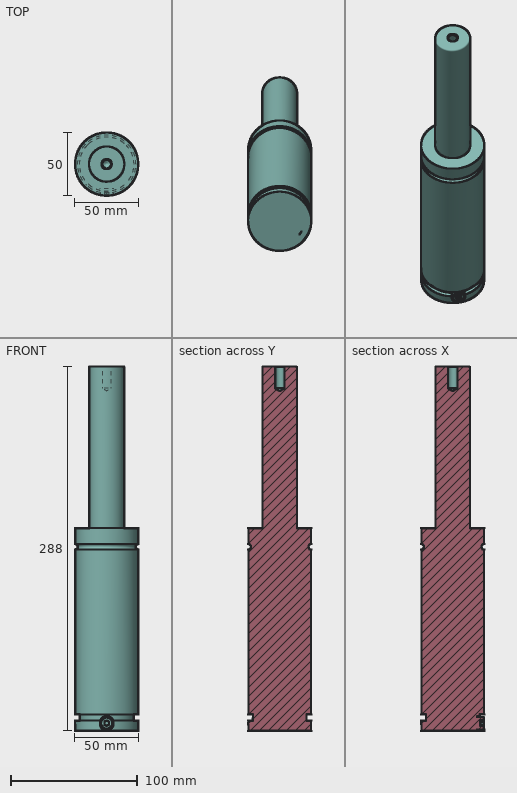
import cadquery as cq
import math

length = 288.0
body_diameter = 50.0
body_height = 160.0
body_radius = body_diameter / 2

rod_diameter = 28.0
rod_edge_radius = 1.2
bore_diameter = 7.0
bore_rim_diameter = 8.0
bore_depth = 17.3
drill_point_angle = 118

base_height = 8.0
base_groove_top = 13.0
base_groove_diameter = 43.0

top_groove_radius = 2.07
top_groove_height = 145.5

plug_height = 6.0
plug_diameter = 10.0
plug_chamfer = 0.5
seat_diameter = 11.0
seat_depth = 5.8
plug_face_inset = 0.3
plug_face_y = -(body_radius - plug_face_inset)
socket_width = 3.7
socket_depth = 3.0


def make_body():
    """Cylinder with a square lower groove and a half-round upper groove."""
    base_groove_radius = base_groove_diameter / 2
    profile = (
        cq.Workplane("XZ")
        .lineTo(body_radius, 0)
        .lineTo(body_radius, base_height)
        .lineTo(base_groove_radius, base_height)
        .lineTo(base_groove_radius, base_groove_top)
        .lineTo(body_radius, base_groove_top)
        .lineTo(body_radius, top_groove_height - top_groove_radius)
        .threePointArc(
            (body_radius - top_groove_radius, top_groove_height),
            (body_radius, top_groove_height + top_groove_radius),
        )
        .lineTo(body_radius, body_height)
        .lineTo(0, body_height)
        .close()
    )
    return profile.revolve(360, (0, 0, 0), (0, 1, 0))


def make_rod():
    """Rod standing on the body, rounded at its free end."""
    rod = cq.Workplane("XY").workplane(offset=body_height).circle(rod_diameter / 2)
    return rod.extrude(length - body_height).faces(">Z").edges().fillet(rod_edge_radius)


def make_bore():
    """Blind drilled bore with a 45 degree rim chamfer and a conical bottom."""
    bore_radius = bore_diameter / 2
    rim_radius = bore_rim_diameter / 2
    rim_depth = rim_radius - bore_radius
    point_depth = bore_radius / math.tan(math.radians(drill_point_angle / 2))
    profile = (
        cq.Workplane("XZ")
        .moveTo(0, length)
        .lineTo(rim_radius, length)
        .lineTo(bore_radius, length - rim_depth)
        .lineTo(bore_radius, length - bore_depth)
        .lineTo(0, length - bore_depth - point_depth)
        .close()
    )
    return profile.revolve(360, (0, 0, 0), (0, 1, 0))


def plug_plane(y):
    """Plane facing -Y, centred on the plug axis at the given Y."""
    return cq.Workplane("XZ", origin=(0, y, plug_height))


def make_plug():
    """Round plug along Y with a chamfered face and a hexagon socket."""
    plug = plug_plane(0).circle(plug_diameter / 2).extrude(-plug_face_y)
    plug = plug.faces("<Y").edges().chamfer(plug_chamfer)
    socket = (
        plug_plane(plug_face_y)
        .polygon(6, socket_width, circumscribed=True)
        .extrude(-socket_depth)
    )
    return plug.cut(socket)


def make_plug_seat():
    """Blind pocket that leaves a narrow ring gap around the plug."""
    return plug_plane(-body_radius).circle(seat_diameter / 2).extrude(-seat_depth)


result = make_body().cut(make_plug_seat()).union(make_plug())
result = result.union(make_rod()).cut(make_bore())